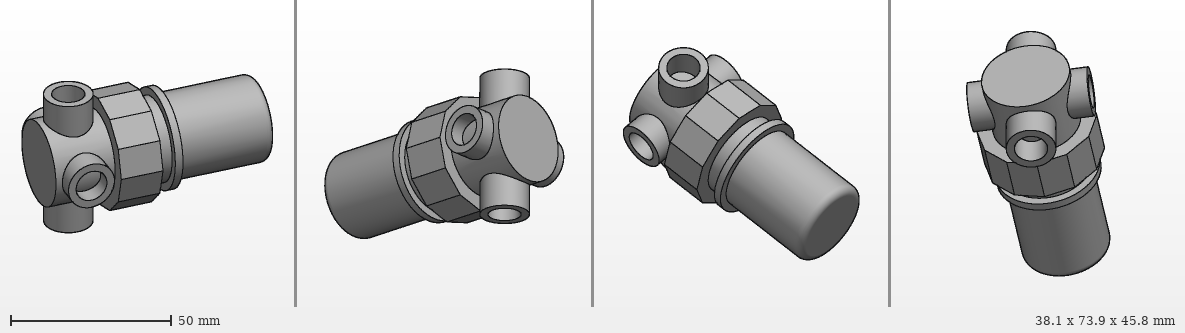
import cadquery as cq
import math

body_length = 73.9
body_radius = 14.0
rear_fillet = 2.5

flange_start = 39.2
flange_thickness = 2.6
flange_radius = 16.55

nut_sides = 12
nut_start = 19.95
nut_length = 14.05

port_y = 9.9
port_radius = 7.75
port_bore_radius = 5.2
span_x = 38.1
span_z = 45.75

nut_corner_radius = span_x / 2


def bar_along_y(radius, start, length):
    axis = cq.Vector(0, 1, 0)
    return cq.Workplane(cq.Solid.makeCylinder(radius, length, cq.Vector(0, start, 0), axis))


def make_nut():
    corners = []
    for i in range(nut_sides):
        angle = 2 * math.pi * i / nut_sides
        corners.append((nut_corner_radius * math.cos(angle), nut_corner_radius * math.sin(angle)))
    plane = cq.Workplane("XZ").workplane(offset=-nut_start)
    return plane.polyline(corners).close().extrude(-nut_length)


def make_port_pair(plane_name, span):
    """Straight tube through the body axis, spanning both opposite ports."""
    centre = (0, port_y, 0)
    plane = cq.Workplane(plane_name, origin=centre)
    return plane.circle(port_radius).circle(port_bore_radius).extrude(span / 2, both=True)


body = bar_along_y(body_radius, 0, body_length).faces(">Y").edges().fillet(rear_fillet)
flange = bar_along_y(flange_radius, flange_start, flange_thickness)

result = (
    body.union(flange)
    .union(make_nut())
    .union(make_port_pair("YZ", span_x))
    .union(make_port_pair("XY", span_z))
)